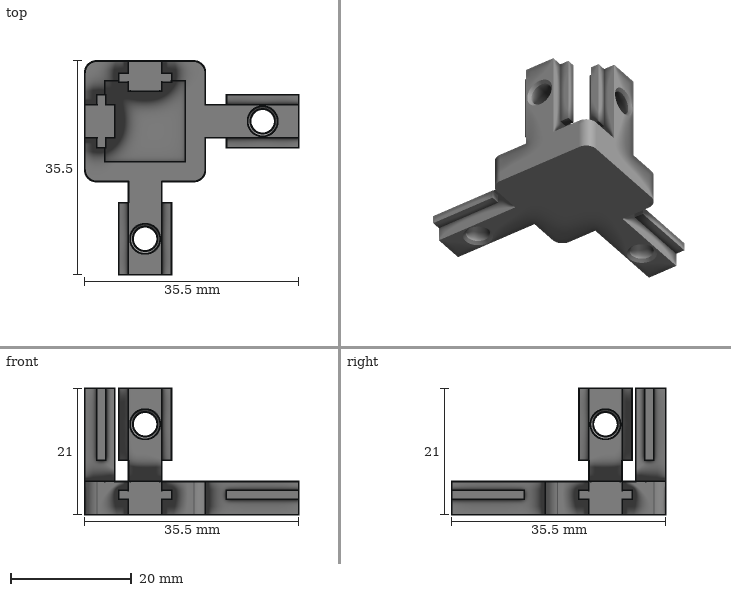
import cadquery as cq

base_side = 20.02
base_height = 5.55
corner_radius = 2.0
pocket_side = 13.4
pocket_depth = 0.5

total_length = 35.5
arm_length = total_length - base_side
arm_width = 5.55
upright_thickness = 5.0

rail_length = 12.0
rail_span = 8.8
rail_thickness = 1.5
rail_inset = 1.5

hole_diameter = 4.0
countersink_diameter = 5.0
countersink_angle = 90.0

base_center = base_side / 2


def make_base():
    """Rounded square block with a shallow square pocket in its top."""
    block = (
        cq.Workplane("XY")
        .rect(base_side, base_side)
        .extrude(base_height)
        .edges("|Z")
        .fillet(corner_radius)
    )
    pocket = (
        cq.Workplane("XY")
        .workplane(offset=base_height - pocket_depth)
        .rect(pocket_side, pocket_side)
        .extrude(pocket_depth)
    )
    return block.cut(pocket).translate((base_center, base_center, 0))


def make_arm(thickness, root=0):
    """Arm along +X with its inner face on Z = 0; root is an extra length sunk into the base."""
    bar = cq.Workplane("XY").box(
        arm_length + root, arm_width, thickness, centered=(False, True, False)
    ).translate((-root, 0, 0))
    rails = cq.Workplane("XY").box(
        rail_length, rail_span, rail_thickness, centered=(False, True, False)
    ).translate((arm_length - rail_length, 0, rail_inset))
    arm = bar.union(rails)
    hole_center = (arm_length - rail_length / 2, 0, 0)
    for face in ("<Z", ">Z"):
        arm = (
            arm.faces(face)
            .workplane(origin=hole_center)
            .cskHole(hole_diameter, countersink_diameter, countersink_angle)
        )
    return arm


def make_flat_arm():
    """Arm leaving the +X side of the base, with its inner face on top."""
    arm = make_arm(base_height).rotate((0, 0, 0), (1, 0, 0), 180)
    return arm.translate((base_side, base_center, base_height))


def make_upright_arm():
    """Arm rising along the -X side of the base; its root fills the pocket below it."""
    arm = make_arm(upright_thickness, pocket_depth).rotate((0, 0, 0), (0, 1, 0), -90)
    return arm.translate((upright_thickness, base_center, base_height))


def swap_to_y(arm):
    """Copy an arm to the neighbouring side by a quarter turn clockwise about the base centre."""
    return arm.rotate((base_center, base_center, 0), (base_center, base_center, 1), -90)


result = make_base()
for arm in (make_flat_arm(), make_upright_arm()):
    result = result.union(arm).union(swap_to_y(arm))